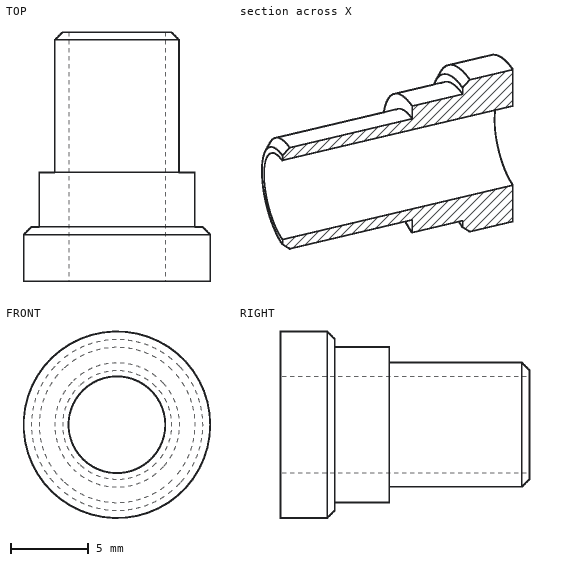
import cadquery as cq

FLANGE_DIAMETER = 12.0
COLLAR_DIAMETER = 10.0
SHANK_DIAMETER = 8.0
BORE_DIAMETER = 6.2

TOTAL_LENGTH = 16.0
FLANGE_LENGTH = 3.5
COLLAR_LENGTH = 3.5
SHANK_LENGTH = TOTAL_LENGTH - FLANGE_LENGTH - COLLAR_LENGTH

EDGE_CHAMFER = 0.5


def cylinder_along_y(diameter, start, length):
    """Solid cylinder centred on the Y axis, running from start toward +Y."""
    return cq.Workplane("XZ", origin=(0, start, 0)).circle(diameter / 2).extrude(-length)


def chamfered_cylinder(diameter, start, length):
    """Cylinder along Y with its far (+Y) rim chamfered."""
    return cylinder_along_y(diameter, start, length).faces(">Y").edges().chamfer(EDGE_CHAMFER)


flange = chamfered_cylinder(FLANGE_DIAMETER, 0, FLANGE_LENGTH)
collar = cylinder_along_y(COLLAR_DIAMETER, FLANGE_LENGTH, COLLAR_LENGTH)
shank = chamfered_cylinder(SHANK_DIAMETER, FLANGE_LENGTH + COLLAR_LENGTH, SHANK_LENGTH)
bore = cylinder_along_y(BORE_DIAMETER, 0, TOTAL_LENGTH)

result = flange.union(collar).union(shank).cut(bore)